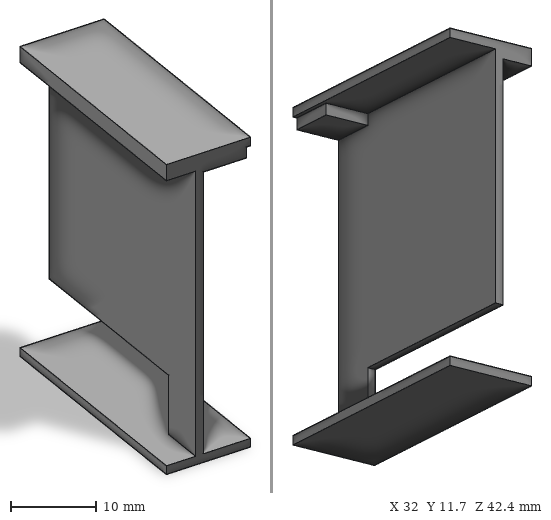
import cadquery as cq

length = 32.0
depth = 11.7
height = 42.4

flange_thickness = 1.2
web_thickness = 1.1
web_front = 4.05
web_back = web_front + web_thickness

front_lip_height = 2.2

leg_width = 5.98
window_top = 9.3

block_depth = 5.98
block_height = 1.5


def box_between(x_range, y_range, z_range):
    """Axis-aligned box given by its limits along each axis."""
    lows, highs = zip(x_range, y_range, z_range)
    sizes = [high - low for low, high in zip(lows, highs)]
    return cq.Workplane("XY").box(*sizes, centered=False).translate(lows)


full_length = (0, length)
full_depth = (0, depth)
leg_span = (length - leg_width, length)
web_span = (web_front, web_back)
top_flange_underside = height - flange_thickness

bottom_flange = box_between(full_length, full_depth, (0, flange_thickness))
top_flange = box_between(full_length, full_depth, (top_flange_underside, height))
front_lip = box_between(full_length, (0, web_back), (height - front_lip_height, height))
web = box_between(full_length, web_span, (window_top, height))
leg = box_between(leg_span, web_span, (0, window_top))
block = box_between(
    leg_span,
    (web_back, web_back + block_depth),
    (top_flange_underside - block_height, top_flange_underside),
)

result = bottom_flange.union(top_flange).union(front_lip).union(web).union(leg).union(block).clean()